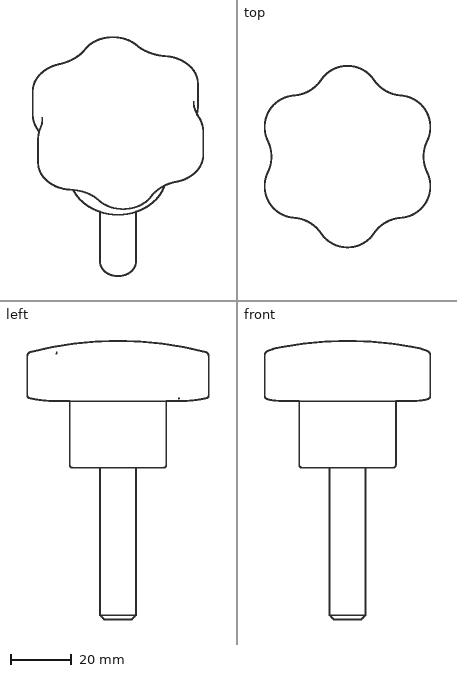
import cadquery as cq
import math

total_height = 92.0
head_bottom = 72.0
hub_bottom = 50.05

lobe_count = 6
tip_radius = 30.0
lobe_radius = 10.5
valley_depth_radius = 25.1
dome_radius = 115.9
underside_flat_radius = 20.2
underside_curve = 41.4
top_fillet = 1.5
bottom_fillet = 1.0

hub_diameter = 32.0
hub_fillet = 1.0
stud_diameter = 12.0
stud_chamfer = 1.5

blank_margin = 0.9

lobe_step = 360.0 / lobe_count
lobe_center_radius = tip_radius - lobe_radius


def polar(radius, degrees):
    """Point at a given distance and direction from the knob axis."""
    angle = math.radians(degrees)
    return (radius * math.cos(angle), radius * math.sin(angle))


def star_outline():
    """Closed outline of convex lobes joined by tangent concave valleys."""
    half_step = lobe_step / 2
    along, across = polar(lobe_center_radius, half_step)
    offset = lobe_radius - valley_depth_radius
    valley_center = (along**2 + across**2 - offset**2) / (2 * (along + offset))
    valley_radius = valley_center - valley_depth_radius
    blend = lobe_radius / (lobe_radius + valley_radius)
    joint_along = along + blend * (valley_center - along)
    joint_across = across * (1 - blend)
    joint_radius = math.hypot(joint_along, joint_across)
    joint_angle = math.degrees(math.atan2(joint_across, joint_along))

    outline = cq.Workplane("XY").workplane(offset=hub_bottom)
    outline = outline.moveTo(*polar(joint_radius, -joint_angle))
    for index in range(lobe_count):
        valley = index * lobe_step
        outline = outline.threePointArc(
            polar(valley_depth_radius, valley),
            polar(joint_radius, valley + joint_angle),
        )
        outline = outline.threePointArc(
            polar(tip_radius, valley + half_step),
            polar(joint_radius, valley + lobe_step - joint_angle),
        )
    return outline.close()


def crowned_blank():
    """Turned blank bounded by the top dome and the upswept underside."""
    blank_radius = tip_radius + blank_margin
    dome_drop = dome_radius - math.sqrt(dome_radius**2 - blank_radius**2)
    mid_radius = blank_radius / 2
    mid_dome_drop = dome_radius - math.sqrt(dome_radius**2 - mid_radius**2)
    curve_width = blank_radius - underside_flat_radius
    rise = underside_curve - math.sqrt(underside_curve**2 - curve_width**2)
    return (
        cq.Workplane("XZ")
        .moveTo(0, head_bottom)
        .lineTo(underside_flat_radius, head_bottom)
        .tangentArcPoint((blank_radius, head_bottom + rise), relative=False)
        .lineTo(blank_radius, total_height - dome_drop)
        .threePointArc((mid_radius, total_height - mid_dome_drop), (0, total_height))
        .close()
        .revolve(360, (0, 0), (0, 1))
    )


def make_head():
    head = star_outline().extrude(total_height - hub_bottom).intersect(crowned_blank())
    head = head.faces("%REVOLUTION").edges("%BSPLINE").fillet(bottom_fillet)
    return head.faces(">Z").edges("%BSPLINE").fillet(top_fillet)


def make_hub():
    hub_top = (head_bottom + total_height) / 2
    hub = cq.Workplane("XY").workplane(offset=hub_bottom).circle(hub_diameter / 2)
    return hub.extrude(hub_top - hub_bottom).faces("<Z").edges().fillet(hub_fillet)


def make_stud():
    stud = cq.Workplane("XY").circle(stud_diameter / 2).extrude(head_bottom)
    return stud.faces("<Z").edges().chamfer(stud_chamfer)


result = make_head().union(make_hub()).union(make_stud())